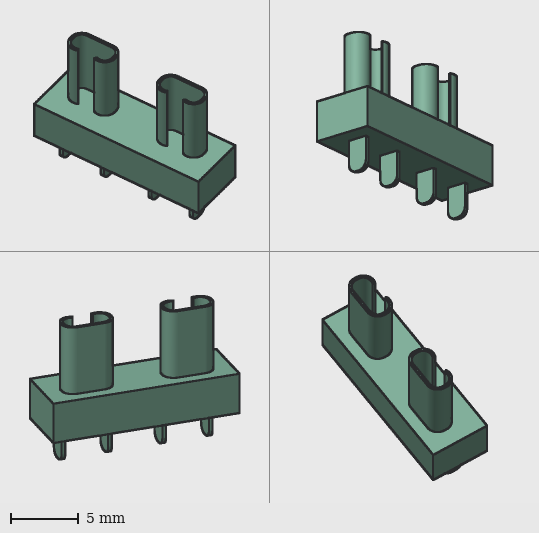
import cadquery as cq
import math

body_length = 14.8
body_width = 4.8
body_height = 3.2

clip_pitch = 8.0
clip_length = 4.0
clip_width = 2.0
clip_height = 5.4
clip_center_y = 0.38
clip_thickness = 0.2
clip_corner_radius = 0.9
lip_angle = math.radians(25)

tail_thickness = 0.3
tail_width = 1.6
tail_length = 2.6
tail_center_y = -0.32
tail_tip_radius = 0.65

clip_centers_x = [-clip_pitch / 2, clip_pitch / 2]


def make_body():
    return cq.Workplane("XY").box(
        body_length, body_width, body_height, centered=(True, True, False)
    )


def arc_point(center, radius, angle):
    """Point at an angle (radians, counter-clockwise from +X) around a centre."""
    return (center[0] + radius * math.cos(angle), center[1] + radius * math.sin(angle))


def make_clip(center_x):
    """C-shaped sleeve standing on the housing, centred on center_x."""
    outer_radius = clip_corner_radius
    inner_radius = outer_radius - clip_thickness
    arc_x = clip_length / 2 - outer_radius
    arc_y = clip_width / 2 - outer_radius
    back_left = (-arc_x, arc_y)
    back_right = (arc_x, arc_y)
    front_left = (-arc_x, -arc_y)
    front_right = (arc_x, -arc_y)

    east, north, west, south = 0, math.pi / 2, math.pi, 3 * math.pi / 2
    left_lip = south + lip_angle
    right_lip = south - lip_angle
    left_lip_middle = (west + left_lip) / 2
    right_lip_middle = (right_lip - 2 * math.pi) / 2
    northeast = math.pi / 4
    northwest = 3 * math.pi / 4

    profile = (
        cq.Workplane("XY")
        .workplane(offset=body_height)
        .center(center_x, clip_center_y)
        .moveTo(*arc_point(front_left, outer_radius, left_lip))
        .threePointArc(
            arc_point(front_left, outer_radius, left_lip_middle),
            arc_point(front_left, outer_radius, west),
        )
        .lineTo(*arc_point(back_left, outer_radius, west))
        .threePointArc(
            arc_point(back_left, outer_radius, northwest),
            arc_point(back_left, outer_radius, north),
        )
        .lineTo(*arc_point(back_right, outer_radius, north))
        .threePointArc(
            arc_point(back_right, outer_radius, northeast),
            arc_point(back_right, outer_radius, east),
        )
        .lineTo(*arc_point(front_right, outer_radius, east))
        .threePointArc(
            arc_point(front_right, outer_radius, right_lip_middle),
            arc_point(front_right, outer_radius, right_lip),
        )
        .lineTo(*arc_point(front_right, inner_radius, right_lip))
        .threePointArc(
            arc_point(front_right, inner_radius, right_lip_middle),
            arc_point(front_right, inner_radius, east),
        )
        .lineTo(*arc_point(back_right, inner_radius, east))
        .threePointArc(
            arc_point(back_right, inner_radius, northeast),
            arc_point(back_right, inner_radius, north),
        )
        .lineTo(*arc_point(back_left, inner_radius, north))
        .threePointArc(
            arc_point(back_left, inner_radius, northwest),
            arc_point(back_left, inner_radius, west),
        )
        .lineTo(*arc_point(front_left, inner_radius, west))
        .threePointArc(
            arc_point(front_left, inner_radius, left_lip_middle),
            arc_point(front_left, inner_radius, left_lip),
        )
        .close()
    )
    return profile.extrude(clip_height)


def make_tail(center_x):
    """Flat tail below the housing with its two lower corners rounded."""
    return (
        cq.Workplane("XY")
        .center(center_x, tail_center_y)
        .rect(tail_thickness, tail_width)
        .extrude(-tail_length)
        .faces("<Z")
        .edges("|X")
        .fillet(tail_tip_radius)
    )


result = make_body()
tail_offset = (clip_length - tail_thickness) / 2
for clip_x in clip_centers_x:
    result = result.union(make_clip(clip_x))
    for side in (-1, 1):
        result = result.union(make_tail(clip_x + side * tail_offset))